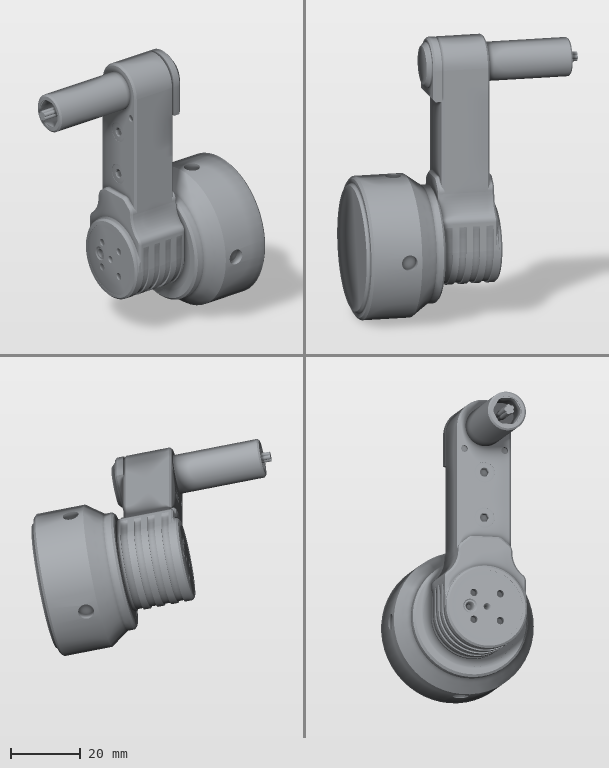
import cadquery as cq
import math


clearance = 0.8

base_r = 20.8
rim_r = 18.8
rim_back_r = 18.15
rim_depth = 1.0
base_chamfer = 0.7
cone_start = 15.8
cone_end = 20.9
collar_r = 17.1
collar_chamfer = 0.65
base_front = 23.7
face_recess_r = 14.2
joint_step = 0.1
side_hole_r = 2.3
side_hole_depth = 2.45
side_hole_place = 12.1

hub_r = 12.0
hub_front = 40.1
hub_back = base_front - 2 * joint_step
hub_chamfer = 0.6
neck_blend_r = 8.0
shoulder_r = 2.0
neck_start = 16.5
neck_corner = 18.0
neck_top = 20.85
neck_top_half = 4.5
neck_corner_fillet = 2.45
cap_front = 41.6
cap_chamfer = 0.6
cap_root = 0.4
cap_recess_r = 10.55

groove_count = 4
groove_start = 24.8
groove_width = 2.05
groove_pitch = 4.0
groove_depth = 0.5
groove_flat_top = 4.0
groove_runout_top = 7.4

cap_hole_r = 1.1
cap_hole_half_spacing = 3.9
cap_hole_depth = 2.05
screw_x = -5.0
screw_r = 2.1
screw_ledge_r = 1.7
screw_mouth_r = 1.3
screw_tip_r = 0.65
screw_depth = 2.05

arm_r = 8.0
pivot_z = 53.0
arm_back = 24.7
arm_front = 38.7
arm_chamfer = 0.6
arm_back_chamfer = 0.7
pad_back = 22.15
pad_drop = 9.15
pin_r = 1.0
pin_x = 6.0
pin_z = 46.35
pin_depth = 0.8
head_r = 2.95
socket_r = 1.5
socket_hex_r = 1.3
socket_depth = 1.6
head_heights = (26.5, 39.7)

knob_back = 20.7
knob_r = 6.6
knob_chamfer = 1.1
handle_r = 5.6
handle_front = 63.8
handle_chamfer = 0.5
bore_r = 4.2
bore_depth = 0.25
hex_flats = 7.5
hex_corner_r = 2.0
hex_depth = 8.2
shaft_front = 66.2
shaft_r = 1.5
shaft_valley_r = 1.1
shaft_lobes = 5


def plane(depth):
    """Sketch plane facing -Y at the given depth, with X across and Z up."""
    return cq.Workplane("XZ").workplane(offset=depth)


def turned(points, x=0, z=0):
    """Revolve an outline of (radius, depth) points about an axis along Y."""
    outline = [(radius, -depth) for radius, depth in points]
    solid = cq.Workplane("XY").polyline(outline).close().revolve(360, (0, 0), (0, 1))
    return solid.translate((x, 0, z))


def disc(radius, start, end, x=0, z=0):
    """Plain cylinder along Y between two depths."""
    return plane(start).center(x, z).circle(radius).extrude(end - start)


def make_base():
    body = turned([
        (0, 0),
        (rim_back_r, 0),
        (rim_r, rim_depth),
        (base_r - base_chamfer, rim_depth),
        (base_r, rim_depth + base_chamfer),
        (base_r, cone_start),
        (collar_r, cone_end),
        (collar_r, base_front - collar_chamfer),
        (collar_r - collar_chamfer, base_front),
        (0, base_front),
    ])
    hole = (
        cq.Workplane("XY", origin=(0, -side_hole_place, base_r - side_hole_depth))
        .circle(side_hole_r)
        .extrude(2 * side_hole_depth)
    )
    for quarter in range(4):
        body = body.cut(hole.rotate((0, 0, 0), (0, 1, 0), 90 * quarter))
    return body.cut(disc(face_recess_r, base_front - joint_step, base_front))


def hub_outline(sketch):
    """Straight flanks, then S-curves into a neck with cut corners, on a flat bottom."""
    shoulder_x = hub_r - shoulder_r
    blend_x = arm_r + neck_blend_r
    reach = neck_blend_r + shoulder_r
    shoulder_z = neck_start - math.sqrt(reach ** 2 - (blend_x - shoulder_x) ** 2)
    lean = math.atan2(neck_start - shoulder_z, blend_x - shoulder_x)

    def shoulder_point(angle):
        return shoulder_x + shoulder_r * math.cos(angle), shoulder_z + shoulder_r * math.sin(angle)

    def blend_point(angle):
        return blend_x - neck_blend_r * math.cos(angle), neck_start - neck_blend_r * math.sin(angle)

    def mirrored(point):
        return -point[0], point[1]

    return (
        sketch.moveTo(-hub_r, 0)
        .lineTo(hub_r, 0)
        .lineTo(hub_r, shoulder_z)
        .threePointArc(shoulder_point(lean / 2), shoulder_point(lean))
        .threePointArc(blend_point(lean / 2), (arm_r, neck_start))
        .lineTo(arm_r, neck_corner)
        .lineTo(neck_top_half, neck_top)
        .lineTo(-neck_top_half, neck_top)
        .lineTo(-arm_r, neck_corner)
        .lineTo(-arm_r, neck_start)
        .threePointArc(mirrored(blend_point(lean / 2)), mirrored(shoulder_point(lean)))
        .threePointArc(mirrored(shoulder_point(lean / 2)), (-hub_r, shoulder_z))
        .close()
    )


def grip_groove(start):
    """Groove wrapped under the hub, running out to the surface on both flanks."""
    floor = hub_r - groove_depth
    outer = hub_r + clearance
    rise = groove_runout_top - groove_flat_top
    runout_r = (rise ** 2 + groove_depth ** 2) / (2 * groove_depth)
    half_turn = math.asin(rise / runout_r) / 2
    mid_x = floor + runout_r * (1 - math.cos(half_turn))
    mid_z = groove_flat_top + runout_r * math.sin(half_turn)
    return (
        plane(start)
        .moveTo(floor, 0)
        .lineTo(floor, groove_flat_top)
        .threePointArc((mid_x, mid_z), (hub_r, groove_runout_top))
        .lineTo(outer, groove_runout_top)
        .lineTo(outer, -outer)
        .lineTo(-outer, -outer)
        .lineTo(-outer, groove_runout_top)
        .lineTo(-hub_r, groove_runout_top)
        .threePointArc((-mid_x, mid_z), (-floor, groove_flat_top))
        .lineTo(-floor, 0)
        .threePointArc((0, -floor), (floor, 0))
        .close()
        .extrude(groove_width)
    )


def make_barrel():
    """Round hub body from the base to the front disc, flared in front of the neck."""
    barrel = turned([
        (0, hub_back),
        (hub_r - hub_chamfer, hub_back),
        (hub_r, hub_back + hub_chamfer),
        (hub_r, cap_front - cap_chamfer),
        (hub_r - cap_chamfer, cap_front),
        (0, cap_front),
    ])
    flare = turned([
        (0, hub_front - cap_root),
        (hub_r + cap_root, hub_front - cap_root),
        (hub_r + cap_root, hub_front),
        (hub_r, hub_front + cap_root),
        (0, hub_front + cap_root),
    ])
    upper_half = plane(0).center(0, hub_r).rect(2 * hub_r, 2 * hub_r).extrude(cap_front)
    return barrel.union(flare.intersect(upper_half))


def make_neck():
    neck = hub_outline(plane(hub_back)).extrude(hub_front - hub_back)
    corners = neck.edges("|Y").filter(lambda edge: edge.Center().z > neck_start + clearance)
    neck = corners.fillet(neck_corner_fillet)
    for face in ("<Y", ">Y"):
        rim = neck.faces(face).edges().filter(lambda edge: edge.Center().z > clearance)
        neck = rim.chamfer(hub_chamfer)
    return neck


def make_hub():
    hub = make_barrel().union(make_neck())
    for index in range(groove_count):
        hub = hub.cut(grip_groove(groove_start + index * groove_pitch))
    return hub


def drill_cap(cap):
    """Recess and holes in the front face of the hub."""
    cap = cap.cut(disc(cap_recess_r, cap_front - joint_step, cap_front))
    for x in (-cap_hole_half_spacing, cap_hole_half_spacing):
        for z in (-cap_hole_half_spacing, cap_hole_half_spacing):
            cap = cap.cut(disc(cap_hole_r, cap_front - cap_hole_depth, cap_front, x, z))
    center_mark = turned([(0, cap_front - cap_hole_depth), (cap_hole_r, cap_front), (0, cap_front)])
    ledge_depth = screw_r - screw_ledge_r
    screw_hole = turned([
        (0, cap_front - screw_depth),
        (screw_tip_r, cap_front - screw_depth),
        (screw_mouth_r, cap_front - ledge_depth),
        (screw_ledge_r, cap_front - ledge_depth),
        (screw_r, cap_front),
        (0, cap_front),
    ], screw_x)
    return cap.cut(center_mark).cut(screw_hole)


def tongue(start, end, bottom):
    """Bar of the arm's width from a flat bottom up to a round top at the pivot."""
    return (
        plane(start)
        .moveTo(-arm_r, bottom)
        .lineTo(arm_r, bottom)
        .lineTo(arm_r, pivot_z)
        .threePointArc((0, pivot_z + arm_r), (-arm_r, pivot_z))
        .close()
        .extrude(end - start)
    )


def make_arm():
    arm = tongue(arm_back, arm_front, 0)
    arm = arm.faces("<Y").chamfer(arm_chamfer)
    arm = arm.faces(">Y").chamfer(arm_back_chamfer)
    for x in (-pin_x, pin_x):
        arm = arm.cut(disc(pin_r, arm_front - pin_depth, arm_front, x, pin_z))
    for height in head_heights:
        arm = arm.cut(disc(head_r, arm_front - joint_step, arm_front, 0, height))
        socket_mouth = turned([(0, arm_front - socket_r), (socket_r, arm_front), (0, arm_front)], 0, height)
        socket = plane(arm_front - socket_depth).center(0, height).polygon(6, 2 * socket_hex_r)
        arm = arm.cut(socket_mouth).cut(socket.extrude(socket_depth))
    pad = tongue(pad_back, arm_back, pivot_z - pad_drop)
    return arm.union(pad.faces(">Y").chamfer(arm_chamfer))


def lobed_outline(sketch):
    """Star of round lobes, with one lobe pointing to -X."""
    def polar(radius, turn):
        angle = math.pi + 2 * math.pi * turn / shaft_lobes
        return radius * math.cos(angle), radius * math.sin(angle)

    sketch = sketch.moveTo(*polar(shaft_valley_r, -0.5))
    for lobe in range(shaft_lobes):
        sketch = sketch.threePointArc(polar(shaft_r, lobe), polar(shaft_valley_r, lobe + 0.5))
    return sketch.close()


def make_handle():
    knob = turned([
        (0, knob_back),
        (knob_r - knob_chamfer, knob_back),
        (knob_r, knob_back + knob_chamfer),
        (knob_r, pad_back),
        (0, pad_back),
    ], 0, pivot_z)
    handle = turned([
        (0, arm_front),
        (handle_r, arm_front),
        (handle_r, handle_front - handle_chamfer),
        (handle_r - handle_chamfer, handle_front),
        (0, handle_front),
    ], 0, pivot_z)
    hex_corners = hex_flats / math.cos(math.pi / 6)
    hex_pocket = (
        plane(handle_front - hex_depth)
        .center(0, pivot_z)
        .polygon(6, hex_corners)
        .extrude(hex_depth)
        .edges("|Y")
        .fillet(hex_corner_r)
    )
    handle = handle.cut(disc(bore_r, handle_front - bore_depth, handle_front, 0, pivot_z))
    handle = handle.cut(hex_pocket)
    shaft = lobed_outline(plane(handle_front - hex_depth).center(0, pivot_z))
    shaft = shaft.extrude(shaft_front - handle_front + hex_depth)
    handle = handle.union(shaft)
    return knob.union(disc(handle_r, pad_back, arm_front, 0, pivot_z)).union(handle)


hub_and_arm = drill_cap(make_hub().union(make_arm()))
result = make_base().union(hub_and_arm).union(make_handle())